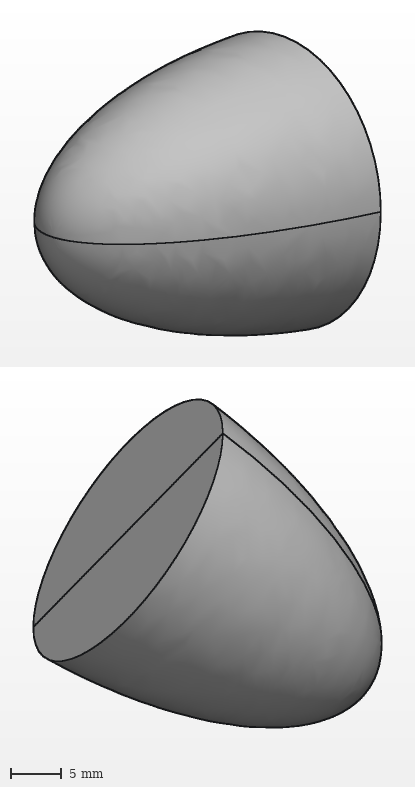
import cadquery as cq
import math

length = 30.0
base_radius = 15.0

half_axis_length = 35.55
center_behind_base = half_axis_length - length
half_axis_radius = base_radius / math.sqrt(1 - (center_behind_base / half_axis_length) ** 2)


def make_half(turn):
    """Revolve the outline half a turn, trim it at the base plane Y = 0 and turn it about the Y axis."""
    half_ellipsoid = (
        cq.Workplane("XY")
        .center(0, center_behind_base)
        .moveTo(0, -half_axis_length)
        .ellipseArc(half_axis_length, half_axis_radius, 0, 90, rotation_angle=-90)
        .lineTo(0, 0)
        .close()
        .revolve(180, (0, 0), (0, -1))
    )
    trim_width = 3 * base_radius
    trim = cq.Workplane("XY").box(trim_width, center_behind_base, trim_width, centered=(True, False, True))
    half = half_ellipsoid.cut(trim)
    return half.rotate((0, 0, 0), (0, 1, 0), turn)


upper_half = make_half(0)
lower_half = make_half(180)

result = cq.Compound.makeCompound([upper_half.solids().val(), lower_half.solids().val()])